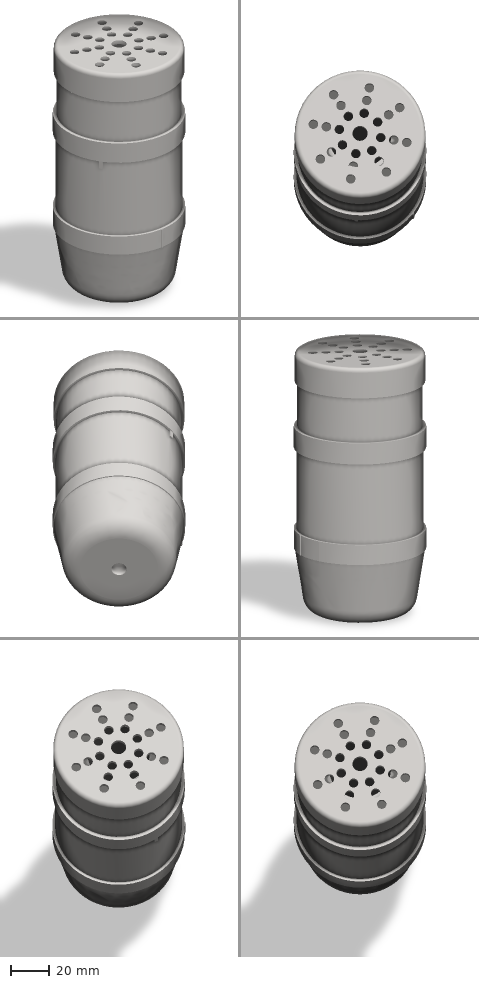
import cadquery as cq
import math

total_height = 142.3
base_arc_top = 8.5
band_bottom = 35.1
band_top = 46.0
collar_bottom = 90.1
collar_top = 101.6
cap_bottom = 126.1

cap_diameter = 68.7
neck_diameter = 66.0
ring_diameter = 69.7
sleeve_diameter = 66.9
taper_top_diameter = 68.6
taper_bottom_diameter = 60.2
underside_diameter = 41.3
taper_mid_diameter = 64.3
taper_mid_height = 21.3

cap_fillet = 2.3
cap_plate = 2.3
cap_gap = 6.4
spigot_diameter = 63.2
center_hole_diameter = 8.0
shaker_hole_diameter = 5.0
hole_rays = 8
hole_ring_radii = (11.1, 18.1, 25.0)

bore_diameter = 32.6
floor_thickness = base_arc_top
neck_top = total_height - cap_plate - cap_gap

tab_width = 1.8
tab_height = 4.5
tab_center_x = 4.7
tab_outer_y = 34.2
rib_angle = -25.6
rib_width = 1.0
rib_outer_radius = 35.3
mark_root = 1.4


def cylinder(diameter, bottom, top):
    return cq.Workplane("XY").workplane(offset=bottom).circle(diameter / 2).extrude(top - bottom)


def make_cap():
    cap = cylinder(cap_diameter, cap_bottom, total_height).faces(">Z").edges().fillet(cap_fillet)
    cap = cap.cut(cylinder(spigot_diameter, cap_bottom, total_height - cap_plate))
    cap = cap.cut(cylinder(center_hole_diameter, cap_bottom, total_height))
    for ring_radius in hole_ring_radii:
        holes = (
            cq.Workplane("XY")
            .workplane(offset=cap_bottom)
            .polarArray(ring_radius, 0, 360, hole_rays)
            .circle(shaker_hole_diameter / 2)
            .extrude(total_height - cap_bottom)
        )
        cap = cap.cut(holes)
    return cap


def make_neck():
    neck = cylinder(ring_diameter, collar_bottom, collar_top)
    neck = neck.union(cylinder(neck_diameter, collar_top, cap_bottom))
    neck = neck.union(cylinder(spigot_diameter, cap_bottom, neck_top))
    return neck.cut(cylinder(bore_diameter, collar_bottom, neck_top))


def make_sleeve():
    sleeve = cylinder(sleeve_diameter, band_top, collar_bottom)
    tab_depth = tab_outer_y - sleeve_diameter / 2 + mark_root
    tab = cq.Workplane("XY").box(tab_width, tab_depth, tab_height, centered=(True, False, False))
    tab = tab.translate((tab_center_x, -tab_outer_y, collar_bottom - tab_height))
    return sleeve.union(tab).cut(cylinder(bore_diameter, band_top, collar_bottom))


def make_base():
    taper_bottom_radius = taper_bottom_diameter / 2
    underside_radius = underside_diameter / 2
    arc_run = taper_bottom_radius - underside_radius
    arc_radius = (arc_run**2 + base_arc_top**2) / (2 * base_arc_top)
    half_sweep = math.atan2(base_arc_top, arc_run)
    arc_middle = (
        underside_radius + arc_radius * math.sin(half_sweep),
        arc_radius * (1 - math.cos(half_sweep)),
    )
    profile = (
        cq.Workplane("XZ")
        .lineTo(underside_radius, 0)
        .threePointArc(arc_middle, (taper_bottom_radius, base_arc_top))
        .threePointArc(
            (taper_mid_diameter / 2, taper_mid_height),
            (taper_top_diameter / 2, band_bottom),
        )
        .lineTo(0, band_bottom)
        .close()
    )
    base = profile.revolve(360, (0, 0, 0), (0, 1, 0))
    base = base.union(cylinder(ring_diameter, band_bottom, band_top))

    rib_inner_radius = ring_diameter / 2 - mark_root
    rib = cq.Workplane("XY").box(
        rib_outer_radius - rib_inner_radius, rib_width, band_top - band_bottom, centered=(False, True, False)
    )
    rib = rib.translate((rib_inner_radius, 0, band_bottom)).rotate((0, 0, 0), (0, 0, 1), rib_angle)
    base = base.union(rib)

    base = base.cut(cylinder(bore_diameter, floor_thickness, band_top))
    return base.cut(cylinder(center_hole_diameter, 0, floor_thickness))


cap = make_cap()
neck = make_neck()
sleeve = make_sleeve()
base = make_base()

result = cq.Compound.makeCompound([cap.val(), neck.val(), sleeve.val(), base.val()])